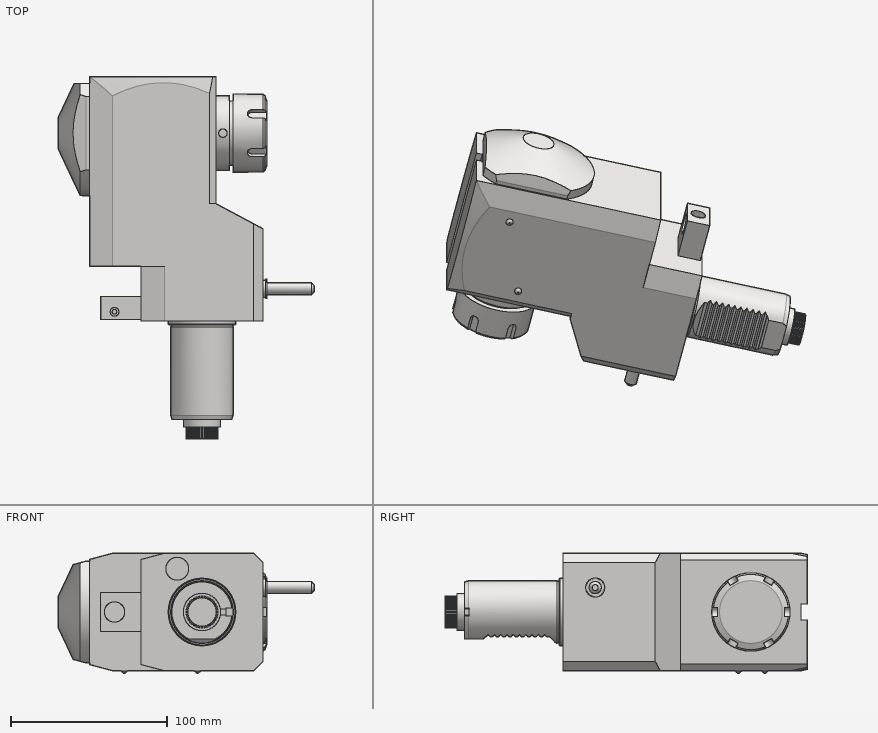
import cadquery as cq
import math


HEIGHT = 75.0
BACK_Y = 156.0
HEAD_LEFT_X = -71.7
HEAD_RIGHT_X = 9.0
FOOT_HALF_WIDTH = 39.0
STEP_Y = 35.0
SLOPE_START_Y = 75.0
SLOPE_END_Y = 59.0
LEFT_BEVEL_WIDTH = 14.5
FOOT_BEVEL_WIDTH = 15.0
BEVEL_ANGLE = 15.0
FOOT_CORNER_CHAMFER = 6.0
HEAD_CORNER_CHAMFER = 4.2
BACK_SLOT_WIDTH = 10.0
BACK_SLOT_DEPTH = 3.9
SEAT_PLUG_X = -15.8
SEAT_PLUG_Z = 27.6
SEAT_PLUG_RADIUS = 7.3
SEAT_PLUG_RECESS = 0.3

RELIEF_RADIUS = 349.0
RELIEF_CENTER_X = -24.5
RELIEF_START_Y = 152.2
RELIEF_SLOPE = 0.18

SPINDLE_Y = 120.0

COVER_RADIUS = 40.0
COVER_HUB_RADIUS = 10.1
COVER_END_X = -91.8
COVER_RIM_X = -77.7
COVER_FLAT_Y = 151.7
COVER_BEVEL_GAP = 0.5
COVER_BEVEL_START_X = -74.1

COLLAR_RADIUS = 24.0
COLLAR_END_X = 17.4
NECK_RADIUS = 20.6
NUT_START_X = 19.8
NUT_RADIUS = 25.0
NUT_RIM_X = 39.0
NUT_SHOULDER_X = 40.3
NUT_SHOULDER_RADIUS = 24.0
NUT_END_X = 41.6
NUT_END_RADIUS = 20.0
NUT_SLOT_COUNT = 6
NUT_SLOT_WIDTH = 6.0
NUT_SLOT_START_X = 29.0
NUT_SLOT_FLOOR_RADIUS = 21.3
COLLAR_HOLE_X = 13.3
COLLAR_HOLE_DIAMETER = 5.4
COLLAR_HOLE_DEPTH = 5.0

SHANK_RADIUS = 20.0
FLANGE_RADIUS = 21.6
FLANGE_THICKNESS = 2.4
FLANGE_CHAMFER = 0.6
GROOVE_END_Y = -3.6
GROOVE_RADIUS = 19.7
SHANK_TAPER_Y = -60.0
SHANK_END_Y = -62.8
SHANK_END_RADIUS = 19.2
SHANK_NECK_RADIUS = 11.9
SHANK_NECK_END_Y = -67.5
KEY_SLOT_DEPTH = 3.0
KEY_SLOT_INNER_DEPTH = 5.0
KEY_SLOT_STEP_X = 15.2
KEY_SLOT_WIDTH = 5.0
KEY_SLOT_INNER_WIDTH = 4.0

RACK_Z = -15.9
RACK_FLAT_Z = -17.3
RACK_START_Y = -8.2
RACK_END_Y = -49.3
RACK_PITCH = 4.0
RACK_ROOT_COUNT = 10
RACK_FIRST_ROOT_Y = -11.6
RACK_TOOTH_DEPTH = 1.4

SPLINE_RADIUS = 10.2
SPLINE_ROOT_RADIUS = 9.0
SPLINE_END_Y = -75.0
SPLINE_TOOTH_COUNT = 36

BLOCK_LEFT_X = -64.7
BLOCK_START_Y = 1.1
BLOCK_WIDTH = 14.7
BLOCK_HEIGHT = 25.0
BLOCK_BORE_X = -55.8
BLOCK_BORE_DIAMETER = 13.0
BLOCK_SIDE_BORE_DIAMETER = 9.2
BLOCK_SIDE_BORE_Y = 8.7
COOLANT_PORT_DIAMETER = 2.6
COOLANT_PORT_DEPTH = 5.0
BLOCK_SCREW_Y = 6.0
BLOCK_SCREW_DIAMETER = 5.6
BLOCK_SCREW_RECESS = 0.5
BLOCK_SCREW_SOCKET_DIAMETER = 3.0

PIN_Y = 20.7
PIN_Z = 15.6
PIN_RADIUS = 3.9
PIN_END_X = 71.7
PIN_CHAMFER = 2.0
PIN_COLLAR_RADIUS = 5.6
PIN_LIP_RADIUS = 6.1
PIN_LIP_START_X = 40.6
PIN_COLLAR_END_X = 41.4

SCREW_PLACES = [(-49.6, 128.9), (-2.8, 112.0)]
SCREW_BASE_RADIUS = 2.3
SCREW_TIP_RADIUS = 0.4
SCREW_PROTRUSION = 1.6

HALF_HEIGHT = HEIGHT / 2
BEVEL_SLOPE = math.tan(math.radians(BEVEL_ANGLE))
OVERLAP = 1.0


def box(x0, x1, y0, y1, z0, z1):
    """Axis-aligned box between two opposite corners."""
    return cq.Workplane("XY").box(x1 - x0, y1 - y0, z1 - z0, centered=False).translate((x0, y0, z0))


def polar_point(radius, angle):
    return (radius * math.cos(angle), radius * math.sin(angle))


def turned_about_y(points):
    """Solid turned about the Y axis from (radius, y) points."""
    return cq.Workplane("XY").polyline(points).close().revolve(360, (0, 0, 0), (0, 1, 0))


def turned_about_x(points):
    """Solid turned about the X axis from (x, radius) points."""
    return cq.Workplane("XY").polyline(points).close().revolve(360, (0, 0, 0), (1, 0, 0))


def beveled_bar(left, right, y0, y1, left_bevel, left_drop, right_bevel):
    """Bar along Y whose section has beveled left corners and 45 degree right corners."""
    upper = [
        (left, HALF_HEIGHT - left_drop),
        (left + left_bevel, HALF_HEIGHT),
        (right - right_bevel, HALF_HEIGHT),
        (right, HALF_HEIGHT - right_bevel),
    ]
    lower = [(x, -z) for x, z in reversed(upper)]
    section = cq.Workplane("XZ").polyline(upper + lower).close()
    return section.extrude(y0 - y1).translate((0, y0, 0))


def make_housing():
    head = beveled_bar(
        HEAD_LEFT_X, HEAD_RIGHT_X, SLOPE_START_Y, BACK_Y,
        LEFT_BEVEL_WIDTH, LEFT_BEVEL_WIDTH * BEVEL_SLOPE, HEAD_CORNER_CHAMFER,
    )
    middle = beveled_bar(
        HEAD_LEFT_X, FOOT_HALF_WIDTH, STEP_Y, SLOPE_START_Y,
        LEFT_BEVEL_WIDTH, LEFT_BEVEL_WIDTH * BEVEL_SLOPE, FOOT_CORNER_CHAMFER,
    )
    shoulder_cut = (
        cq.Workplane("XY")
        .moveTo(HEAD_RIGHT_X, SLOPE_START_Y)
        .lineTo(FOOT_HALF_WIDTH, SLOPE_END_Y)
        .lineTo(FOOT_HALF_WIDTH, SLOPE_START_Y)
        .close()
        .extrude(HALF_HEIGHT, both=True)
    )
    foot = beveled_bar(
        -FOOT_HALF_WIDTH, FOOT_HALF_WIDTH, 0, STEP_Y,
        FOOT_BEVEL_WIDTH, FOOT_BEVEL_WIDTH * BEVEL_SLOPE, FOOT_CORNER_CHAMFER,
    )
    housing = head.union(middle.cut(shoulder_cut)).union(foot)
    for side in (1, -1):
        housing = housing.intersect(relief_cone(side))
    back_slot = box(
        HEAD_LEFT_X, HEAD_RIGHT_X, BACK_Y - BACK_SLOT_DEPTH, BACK_Y,
        -BACK_SLOT_WIDTH / 2, BACK_SLOT_WIDTH / 2,
    )
    plug_recess = (
        cq.Workplane("XZ")
        .center(SEAT_PLUG_X, SEAT_PLUG_Z)
        .circle(SEAT_PLUG_RADIUS)
        .extrude(-SEAT_PLUG_RECESS)
    )
    return housing.cut(back_slot).cut(plug_recess)


def relief_cone(side):
    """Large cone along Y whose skin trims the back edge of the top (side 1) or bottom (side -1)."""
    front_radius = RELIEF_RADIUS + RELIEF_SLOPE * RELIEF_START_Y
    back_radius = RELIEF_RADIUS - RELIEF_SLOPE * (BACK_Y - RELIEF_START_Y)
    cone = turned_about_y([(0, 0), (front_radius, 0), (back_radius, BACK_Y), (0, BACK_Y)])
    return cone.translate((RELIEF_CENTER_X, 0, side * (HALF_HEIGHT - RELIEF_RADIUS)))


def make_cover():
    root_x = HEAD_LEFT_X + OVERLAP
    cover = turned_about_x([
        (root_x, 0),
        (root_x, COVER_RADIUS),
        (COVER_RIM_X, COVER_RADIUS),
        (COVER_END_X, COVER_HUB_RADIUS),
        (COVER_END_X, 0),
    ]).translate((0, SPINDLE_Y, 0))
    bevel_plane_z = HALF_HEIGHT - BEVEL_SLOPE * LEFT_BEVEL_WIDTH - COVER_BEVEL_GAP
    root_half = bevel_plane_z - BEVEL_SLOPE * (HEAD_LEFT_X - COVER_BEVEL_START_X)
    end_half = bevel_plane_z - BEVEL_SLOPE * (HEAD_LEFT_X - COVER_END_X)
    upper = [(root_x, root_half), (COVER_BEVEL_START_X, root_half), (COVER_END_X, end_half)]
    lower = [(x, -z) for x, z in reversed(upper)]
    trim = (
        cq.Workplane("XZ")
        .polyline(upper + lower)
        .close()
        .extrude(-COVER_FLAT_Y)
    )
    return cover.intersect(trim)


def make_collet_nut():
    nut = turned_about_x([
        (HEAD_RIGHT_X - OVERLAP, 0),
        (HEAD_RIGHT_X - OVERLAP, COLLAR_RADIUS),
        (COLLAR_END_X, COLLAR_RADIUS),
        (COLLAR_END_X, NECK_RADIUS),
        (NUT_START_X, NECK_RADIUS),
        (NUT_START_X, NUT_RADIUS),
        (NUT_RIM_X, NUT_RADIUS),
        (NUT_SHOULDER_X, NUT_SHOULDER_RADIUS),
        (NUT_END_X, NUT_END_RADIUS),
        (NUT_END_X, 0),
    ])
    half_width = NUT_SLOT_WIDTH / 2
    slot = (
        cq.Workplane("XY")
        .workplane(offset=NUT_SLOT_FLOOR_RADIUS)
        .moveTo(NUT_END_X, half_width)
        .lineTo(NUT_SLOT_START_X + half_width, half_width)
        .threePointArc((NUT_SLOT_START_X, 0), (NUT_SLOT_START_X + half_width, -half_width))
        .lineTo(NUT_END_X, -half_width)
        .close()
        .extrude(NUT_RADIUS - NUT_SLOT_FLOOR_RADIUS + OVERLAP)
    )
    for index in range(NUT_SLOT_COUNT):
        angle = (index + 0.5) * 360 / NUT_SLOT_COUNT
        nut = nut.cut(slot.rotate((0, 0, 0), (1, 0, 0), angle))
    wrench_hole = (
        cq.Workplane("XY")
        .workplane(offset=COLLAR_RADIUS - COLLAR_HOLE_DEPTH)
        .center(COLLAR_HOLE_X, 0)
        .circle(COLLAR_HOLE_DIAMETER / 2)
        .extrude(COLLAR_HOLE_DEPTH)
    )
    return nut.cut(wrench_hole).translate((0, SPINDLE_Y, 0))


def make_shank():
    shank = turned_about_y([
        (0, OVERLAP),
        (FLANGE_RADIUS, OVERLAP),
        (FLANGE_RADIUS, FLANGE_CHAMFER - FLANGE_THICKNESS),
        (FLANGE_RADIUS - FLANGE_CHAMFER, -FLANGE_THICKNESS),
        (GROOVE_RADIUS, -FLANGE_THICKNESS),
        (GROOVE_RADIUS, GROOVE_END_Y),
        (SHANK_RADIUS, GROOVE_END_Y),
        (SHANK_RADIUS, SHANK_TAPER_Y),
        (SHANK_END_RADIUS, SHANK_END_Y),
        (SHANK_NECK_RADIUS, SHANK_END_Y),
        (SHANK_NECK_RADIUS, SHANK_NECK_END_Y),
        (0, SHANK_NECK_END_Y),
    ])
    return shank.cut(rack_cut()).cut(key_slot()).union(make_spline())


def rack_cut():
    """Material removed under the shank: a flat with 45 degree ends and triangular tooth gaps."""
    floor_z = -FLANGE_RADIUS - OVERLAP
    ramp_height = RACK_Z - floor_z
    outline = [
        (RACK_START_Y + ramp_height, floor_z),
        (RACK_START_Y, RACK_Z),
    ]
    for index in range(RACK_ROOT_COUNT):
        root_y = RACK_FIRST_ROOT_Y - index * RACK_PITCH
        outline.append((root_y + RACK_TOOTH_DEPTH, RACK_Z))
        outline.append((root_y, RACK_Z + RACK_TOOTH_DEPTH))
        outline.append((root_y - RACK_TOOTH_DEPTH, RACK_Z))
    outline += [
        (RACK_END_Y, RACK_Z),
        (RACK_END_Y - (RACK_Z - RACK_FLAT_Z), RACK_FLAT_Z),
        (SHANK_END_Y, RACK_FLAT_Z),
        (SHANK_END_Y, floor_z),
    ]
    cut = cq.Workplane("YZ").polyline(outline).close().extrude(SHANK_RADIUS, both=True)
    flange_zone = box(
        -FLANGE_RADIUS, FLANGE_RADIUS, -FLANGE_THICKNESS, OVERLAP, floor_z, RACK_Z,
    )
    return cut.cut(flange_zone)


def key_slot():
    """Stepped radial slot in the end face of the shank, on the +X side."""
    outer_half = KEY_SLOT_WIDTH / 2
    inner_half = KEY_SLOT_INNER_WIDTH / 2
    outer = box(
        KEY_SLOT_STEP_X, SHANK_RADIUS, SHANK_END_Y, SHANK_END_Y + KEY_SLOT_DEPTH,
        -outer_half, outer_half,
    )
    inner = box(
        SHANK_NECK_RADIUS, KEY_SLOT_STEP_X, SHANK_END_Y, SHANK_END_Y + KEY_SLOT_INNER_DEPTH,
        -inner_half, inner_half,
    )
    return outer.union(inner)


def make_spline():
    points = []
    half_tooth_angle = math.pi / SPLINE_TOOTH_COUNT / 2
    for index in range(SPLINE_TOOTH_COUNT):
        center_angle = 2 * math.pi * index / SPLINE_TOOTH_COUNT
        start_angle = center_angle - half_tooth_angle
        end_angle = center_angle + half_tooth_angle
        points.append(polar_point(SPLINE_ROOT_RADIUS, start_angle))
        points.append(polar_point(SPLINE_RADIUS, start_angle))
        points.append(polar_point(SPLINE_RADIUS, end_angle))
        points.append(polar_point(SPLINE_ROOT_RADIUS, end_angle))
    start_y = SHANK_NECK_END_Y + OVERLAP
    section = cq.Workplane("XZ").polyline(points).close()
    return section.extrude(start_y - SPLINE_END_Y).translate((0, start_y, 0))


def make_coolant_block():
    half_height = BLOCK_HEIGHT / 2
    end_y = BLOCK_START_Y + BLOCK_WIDTH
    block = box(BLOCK_LEFT_X, -FOOT_HALF_WIDTH, BLOCK_START_Y, end_y, -half_height, half_height)
    bore = (
        cq.Workplane("XZ")
        .center(BLOCK_BORE_X, 0)
        .circle(BLOCK_BORE_DIAMETER / 2)
        .extrude(-end_y)
    )
    side_bore = (
        cq.Workplane("YZ")
        .center(BLOCK_SIDE_BORE_Y, 0)
        .circle(BLOCK_SIDE_BORE_DIAMETER / 2)
        .extrude(-FOOT_HALF_WIDTH - BLOCK_LEFT_X)
        .translate((BLOCK_LEFT_X, 0, 0))
    )
    screw_recess = (
        cq.Workplane("XY")
        .workplane(offset=half_height - BLOCK_SCREW_RECESS)
        .center(BLOCK_BORE_X, BLOCK_SCREW_Y)
        .circle(BLOCK_SCREW_DIAMETER / 2)
        .extrude(BLOCK_SCREW_RECESS)
    )
    screw_socket = (
        cq.Workplane("XY")
        .center(BLOCK_BORE_X, BLOCK_SCREW_Y)
        .circle(BLOCK_SCREW_SOCKET_DIAMETER / 2)
        .extrude(half_height)
    )
    return block.cut(bore).cut(side_bore).cut(screw_recess).cut(screw_socket)


def coolant_port():
    """Blind hole in the foot, at the end of the side bore of the coolant block."""
    return (
        cq.Workplane("YZ")
        .center(BLOCK_SIDE_BORE_Y, 0)
        .circle(COOLANT_PORT_DIAMETER / 2)
        .extrude(COOLANT_PORT_DEPTH)
        .translate((-FOOT_HALF_WIDTH, 0, 0))
    )


def make_pin():
    root_x = FOOT_HALF_WIDTH - OVERLAP
    pin = turned_about_x([
        (root_x, 0),
        (root_x, PIN_COLLAR_RADIUS),
        (PIN_LIP_START_X, PIN_COLLAR_RADIUS),
        (PIN_LIP_START_X, PIN_LIP_RADIUS),
        (PIN_COLLAR_END_X, PIN_LIP_RADIUS),
        (PIN_COLLAR_END_X, PIN_RADIUS),
        (PIN_END_X - PIN_CHAMFER, PIN_RADIUS),
        (PIN_END_X, PIN_RADIUS - PIN_CHAMFER),
        (PIN_END_X, 0),
    ])
    return pin.translate((0, PIN_Y, PIN_Z))


def make_screw(x, y):
    """Screw tip pointing down from the bottom of the housing."""
    tip = cq.Solid.makeCone(
        SCREW_BASE_RADIUS, SCREW_TIP_RADIUS, SCREW_PROTRUSION,
        cq.Vector(x, y, -HALF_HEIGHT), cq.Vector(0, 0, -1),
    )
    return cq.Workplane(obj=tip)


result = make_housing()
for attachment in (make_cover(), make_collet_nut(), make_shank(), make_coolant_block(), make_pin()):
    result = result.union(attachment)
for screw_x, screw_y in SCREW_PLACES:
    result = result.union(make_screw(screw_x, screw_y))
result = result.cut(coolant_port())